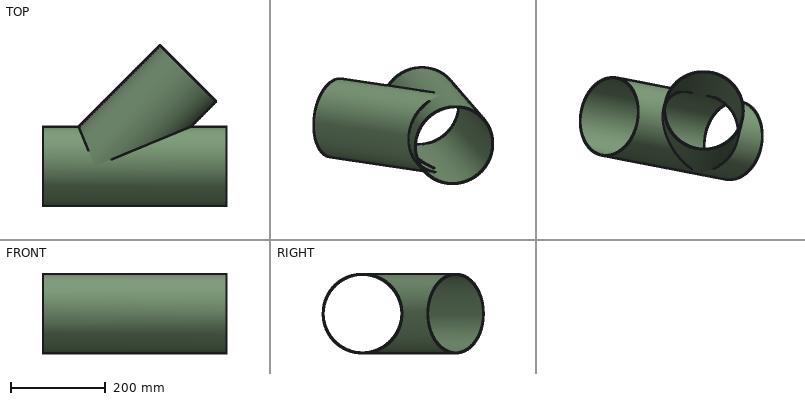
import cadquery as cq
import math

outer_diameter = 168.3
wall_thickness = 2.0
run_length = 388.0
overall_width = 340.34
branch_angle = 45.0
branch_start = 110.0

outer_radius = outer_diameter / 2
inner_radius = outer_radius - wall_thickness
angle = math.radians(branch_angle)
branch_direction = cq.Vector(math.cos(angle), math.sin(angle), 0)

branch_end_y = overall_width - outer_radius - outer_radius * math.cos(angle)
branch_length = branch_end_y / math.sin(angle)

axes_crossing = cq.Vector(0, 0, 0)
run_end = cq.Vector(-branch_start, 0, 0)


def run_cylinder(radius):
    """Solid cylinder over the full length of the run."""
    return cq.Workplane(cq.Solid.makeCylinder(radius, run_length, run_end, cq.Vector(1, 0, 0)))


def branch_cylinder(radius):
    """Solid cylinder from the crossing of the axes to the open end of the branch."""
    return cq.Workplane(cq.Solid.makeCylinder(radius, branch_length, axes_crossing, branch_direction))


def tee(radius):
    """Run and branch of one radius, joined into a single body."""
    return run_cylinder(radius).union(branch_cylinder(radius))


result = tee(outer_radius).cut(run_cylinder(inner_radius)).cut(branch_cylinder(inner_radius))